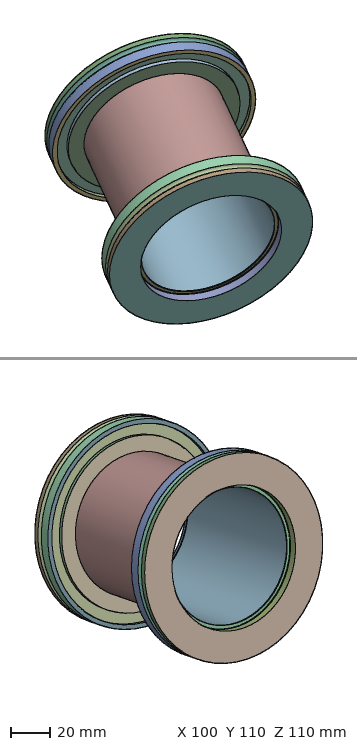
import cadquery as cq

OVERALL_LENGTH = 100.0
HALF_LENGTH = OVERALL_LENGTH / 2
FLANGE_DIAMETER = 110.0

FLANGE_THICKNESS = 12.0
RIM_GROOVE_START = 3.0
RIM_GROOVE_RADIUS = 1.5
FACE_GROOVE_OUTER_DIAMETER = 105.0
FACE_GROOVE_INNER_DIAMETER = 93.0
FACE_GROOVE_DEPTH = 2.1

COUNTERBORE_DIAMETER = 76.2
COUNTERBORE_DEPTH = 4.5
LIP_BORE = 72.2
LIP_THICKNESS = 0.5

TUBE_DIAMETER = 76.0
TUBE_BORE = 72.0
TUBE_SETBACK = COUNTERBORE_DEPTH + LIP_THICKNESS

FLANGE_INNER_FACE = HALF_LENGTH - FLANGE_THICKNESS


def disc(diameter, start, length):
    """Solid disc about the X axis that starts at X = start and extends toward +X."""
    return cq.Workplane("YZ", origin=(start, 0, 0)).circle(diameter / 2).extrude(length)


def ring(outer_diameter, inner_diameter, start, length):
    """Ring about the X axis that starts at X = start and extends toward +X."""
    return disc(outer_diameter, start, length).cut(disc(inner_diameter, start, length))


def rim_groove():
    """Round-bottomed groove around the rim of the left flange."""
    rim_radius = FLANGE_DIAMETER / 2
    start = -HALF_LENGTH + RIM_GROOVE_START
    middle = start + RIM_GROOVE_RADIUS
    end = start + 2 * RIM_GROOVE_RADIUS
    return (
        cq.Workplane("XY")
        .moveTo(start, rim_radius)
        .threePointArc((middle, rim_radius - RIM_GROOVE_RADIUS), (end, rim_radius))
        .close()
        .revolve(360, (0, 0, 0), (1, 0, 0))
    )


def make_left_flange():
    """Flange with a counterbore, a lip, a tube socket, a rim groove and an inner-face groove."""
    body = ring(FLANGE_DIAMETER, LIP_BORE, -HALF_LENGTH, FLANGE_THICKNESS)
    counterbore = disc(COUNTERBORE_DIAMETER, -HALF_LENGTH, COUNTERBORE_DEPTH)
    socket = disc(TUBE_DIAMETER, -HALF_LENGTH + TUBE_SETBACK, FLANGE_THICKNESS - TUBE_SETBACK)
    face_groove = ring(
        FACE_GROOVE_OUTER_DIAMETER,
        FACE_GROOVE_INNER_DIAMETER,
        -FLANGE_INNER_FACE - FACE_GROOVE_DEPTH,
        FACE_GROOVE_DEPTH,
    )
    return body.cut(counterbore).cut(socket).cut(face_groove).cut(rim_groove())


def make_flange(turn):
    """Copy of the left flange turned about the Z axis."""
    return make_left_flange().rotate((0, 0, 0), (0, 0, 1), turn)


def make_tube():
    """Plain tube whose ends sit in the flange sockets, against the lips."""
    tube_half_length = HALF_LENGTH - TUBE_SETBACK
    return ring(TUBE_DIAMETER, TUBE_BORE, -tube_half_length, 2 * tube_half_length)


tube = make_tube()
flanges = [make_flange(turn) for turn in (0, 180)]

result = cq.Compound.makeCompound([tube.val(), *[flange.val() for flange in flanges]])